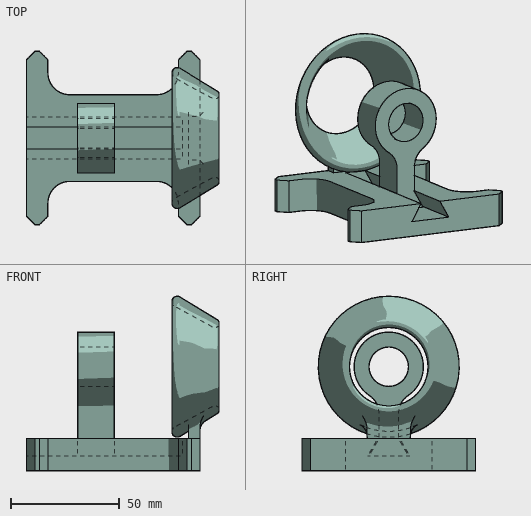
import cadquery as cq
import math

base_length = 80.0
base_width = 80.0
base_height = 15.0
arm_length = 10.0
web_width = 40.0
web_fillet = 10.0
tip_chamfer = 4.0

groove_top_width = 10.0
groove_depth = 8.0
groove_length = 72.0
wall_lean = math.radians(30)

axis_height = 48.0
slider_start = 23.6
slider_length = 17.0
eye_diameter = 32.0
eye_hole_diameter = 18.0
neck_width = 9.0
neck_fillet = 10.0
wall_clearance = 0.5

cone_lean = math.radians(30)
wall_length = 20.0
rim_round = 2.5
tail_round = 2.0
throat_radius = 18.0
ring_start = 67.0

ring_foot_thickness = 5.4
ring_foot_width = 20.0
ring_foot_block_height = 12.0
ring_foot_fillet = 5.0

floor_height = base_height - groove_depth
groove_floor_half_width = groove_top_width / 2 + groove_depth * math.tan(wall_lean)
slider_floor_half_width = groove_floor_half_width - wall_clearance / math.cos(wall_lean)

rim_x = ring_start + rim_round
tail_x = rim_x + wall_length * math.cos(cone_lean)
tail_radius = throat_radius + tail_round
rim_radius = tail_radius + wall_length * math.sin(cone_lean)


def dovetail_prism(start, length, floor_half_width, neck_half_width, top):
    """Prism along X: walls lean inward from the groove floor, then rise straight to the top."""
    shoulder = floor_height + (floor_half_width - neck_half_width) / math.tan(wall_lean)
    half_outline = [
        (floor_half_width, floor_height),
        (neck_half_width, shoulder),
        (neck_half_width, top),
    ]
    mirrored = [(-y, z) for y, z in reversed(half_outline)]
    return cq.Workplane("YZ", origin=(start, 0, 0)).polyline(half_outline + mirrored).close().extrude(length)


def make_base():
    plate = cq.Workplane("XY").box(base_length, base_width, base_height, centered=(False, True, False))
    notch_length = base_length - 2 * arm_length
    notch_depth = (base_width - web_width) / 2
    for side in (-1, 1):
        notch = (
            cq.Workplane("XY")
            .center(base_length / 2, side * (web_width + notch_depth) / 2)
            .rect(notch_length, notch_depth)
            .extrude(base_height)
            .faces("<Y" if side > 0 else ">Y")
            .edges("|Z")
            .fillet(web_fillet)
        )
        plate = plate.cut(notch)
    plate = plate.faces("<Y or >Y").edges("|Z").chamfer(tip_chamfer)
    overshoot = 1.0
    groove = dovetail_prism(
        0, groove_length, groove_floor_half_width, groove_top_width / 2, base_height + overshoot
    )
    return plate.cut(groove)


def make_slider():
    eye_plane = cq.Workplane("YZ", origin=(slider_start, 0, axis_height))
    neck = dovetail_prism(
        slider_start, slider_length, slider_floor_half_width, neck_width / 2, axis_height
    )
    body = neck.union(eye_plane.circle(eye_diameter / 2).extrude(slider_length))

    corner_height = axis_height - math.sqrt((eye_diameter / 2) ** 2 - (neck_width / 2) ** 2)
    margin = 1.0
    corner_box = cq.selectors.BoxSelector(
        (slider_start - margin, -neck_width, corner_height - margin),
        (slider_start + slider_length + margin, neck_width, corner_height + margin),
    )
    body = body.edges(corner_box).edges("|X").fillet(neck_fillet)
    return body.cut(eye_plane.circle(eye_hole_diameter / 2).extrude(slider_length))


def revolve_about_axis(half_section):
    """Turn a closed (x, radius) section around the common axis, which runs along X."""
    return half_section.close().revolve(360, (0, 0, 0), (1, 0, 0)).translate((0, 0, axis_height))


def make_funnel():
    taper = math.asin((rim_round - tail_round) / wall_length)
    outer_tangent = math.pi / 2 - cone_lean + taper
    inner_tangent = -math.pi / 2 - cone_lean - taper

    def on_rim(angle):
        return (rim_x + rim_round * math.cos(angle), rim_radius + rim_round * math.sin(angle))

    def on_tail(angle):
        return (tail_x + tail_round * math.cos(angle), tail_radius + tail_round * math.sin(angle))

    section = (
        cq.Workplane("XZ")
        .moveTo(*on_rim(outer_tangent))
        .lineTo(*on_tail(outer_tangent))
        .threePointArc(on_tail(-cone_lean), on_tail(inner_tangent))
        .lineTo(*on_rim(inner_tangent))
        .threePointArc(on_rim(math.pi - cone_lean), on_rim(outer_tangent))
    )
    return revolve_about_axis(section)


def make_ring():
    wall_middle = cq.Workplane("XZ").polyline(
        [(rim_x, 0), (rim_x, rim_radius), (tail_x, tail_radius), (tail_x, 0)]
    )
    foot_start = base_length - ring_foot_thickness
    foot = (
        cq.Workplane("XY", origin=(foot_start, 0, base_height))
        .box(ring_foot_thickness, ring_foot_width, ring_foot_block_height, centered=(False, True, False))
        .cut(revolve_about_axis(wall_middle))
    )
    ring = make_funnel().union(foot)

    margin = 0.1
    joint_box = cq.selectors.BoxSelector(
        (foot_start + margin, -ring_foot_width / 2 - margin, base_height + margin),
        (base_length + margin, ring_foot_width / 2 + margin, base_height + ring_foot_block_height),
    )
    return ring.edges(joint_box).edges("not |Z").fillet(ring_foot_fillet)


base = make_base()
slider = make_slider()
ring = make_ring()

result = cq.Compound.makeCompound([base.val(), slider.val(), *ring.solids().vals()])